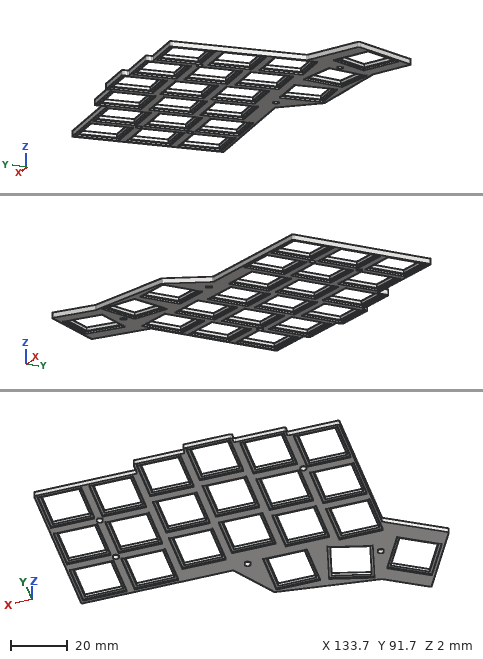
import cadquery as cq
import math


THICKNESS = 2.0
KEY_PITCH = 19.0
CUTOUT = 14.0
WEB_THICKNESS = 1.3
RECESS_MARGIN = 1.0
RIM = 2.0
LOWER_RIM = 2.2
CORNER_RADIUS = 0.5
SCREW_DIAMETER = 2.2
ROWS = 3

STAGGER_STEP = 2.375
COLUMN_SHIFTS = [STAGGER_STEP * steps for steps in (0, 1, 2, 1, -1, -1)]

THUMB_INNER = (1.5 * KEY_PITCH, -36.25)
THUMB_MIDDLE = (THUMB_INNER[0] - 21.0, THUMB_INNER[1] - 2.75)
THUMB_OUTER = (-14.77, -42.72)
THUMB_TURN = 15.0
OUTER_TURN = 2 * THUMB_TURN

OUTER_LEFT_REACH = 9.165
OUTER_UPPER_REACH = 14.315
OUTER_LOWER_REACH = 13.685

SLANT_START_X = 48.15

HALF_KEY = CUTOUT / 2 + RIM
RECESS_WIDTH = CUTOUT + 2 * RECESS_MARGIN
RECESS_DEPTH = THICKNESS - WEB_THICKNESS
ROW_REACH = (ROWS - 1) / 2 * KEY_PITCH
LAST_COLUMN = len(COLUMN_SHIFTS) - 1

THUMB_KEYS = [
    (THUMB_INNER, 0.0),
    (THUMB_MIDDLE, THUMB_TURN),
    (THUMB_OUTER, OUTER_TURN),
]

OUTER_SCREW_X = (LAST_COLUMN - 0.5) * KEY_PITCH
SCREW_HOLES = [
    (KEY_PITCH / 2, KEY_PITCH / 2 + COLUMN_SHIFTS[1] / 2),
    (OUTER_SCREW_X, COLUMN_SHIFTS[LAST_COLUMN] + KEY_PITCH / 2),
    (OUTER_SCREW_X, COLUMN_SHIFTS[LAST_COLUMN] - KEY_PITCH / 2),
    (42.35, -28.95),
    (-4.2, -36.77),
]


def outer_thumb_point(across, along):
    """Point given in the turned frame of the outer thumb key."""
    turn = math.radians(OUTER_TURN)
    x = THUMB_OUTER[0] + across * math.cos(turn) - along * math.sin(turn)
    y = THUMB_OUTER[1] + across * math.sin(turn) + along * math.cos(turn)
    return (x, y)


def crossing(first, first_angle, second, second_angle):
    """Point where two lines cross, each given by a point and an angle in degrees."""
    a = math.radians(first_angle)
    b = math.radians(second_angle)
    dx = second[0] - first[0]
    dy = second[1] - first[1]
    reach = (dx * math.sin(b) - dy * math.cos(b)) / math.sin(b - a)
    return (first[0] + reach * math.cos(a), first[1] + reach * math.sin(a))


def column_top(column):
    """Height of the plate edge above a column."""
    return COLUMN_SHIFTS[column] + ROW_REACH + HALF_KEY


def top_edge_points():
    """Stepped upper edge, from the inner column to the outer one."""
    points = [(-HALF_KEY, column_top(0))]
    for column in range(1, LAST_COLUMN + 1):
        rise = column_top(column) - column_top(column - 1)
        if rise > 0:
            step_x = column * KEY_PITCH - HALF_KEY
        elif rise < 0:
            step_x = (column - 1) * KEY_PITCH + HALF_KEY
        else:
            continue
        points.append((step_x, column_top(column - 1)))
        points.append((step_x, column_top(column)))
    points.append((LAST_COLUMN * KEY_PITCH + HALF_KEY, column_top(LAST_COLUMN)))
    return points


def make_plate():
    top_edge = top_edge_points()
    right_x = top_edge[-1][0]
    bottom_y = COLUMN_SHIFTS[LAST_COLUMN] - ROW_REACH - CUTOUT / 2 - LOWER_RIM
    lower_right = (right_x, bottom_y)
    thumb_right = (THUMB_INNER[0] + HALF_KEY, THUMB_INNER[1] - HALF_KEY)
    thumb_bottom = outer_thumb_point(-OUTER_LEFT_REACH, -OUTER_LOWER_REACH)
    thumb_left = outer_thumb_point(-OUTER_LEFT_REACH, OUTER_UPPER_REACH)
    thumb_bend = crossing(thumb_right, THUMB_TURN / 2, thumb_bottom, OUTER_TURN)
    inner_bend = crossing(top_edge[0], 90.0, thumb_left, OUTER_TURN)

    outline = top_edge + [
        lower_right,
        (SLANT_START_X, bottom_y),
        thumb_right,
        thumb_bend,
        thumb_bottom,
        thumb_left,
        inner_bend,
    ]
    plate = cq.Workplane("XY").polyline(outline).close().extrude(THICKNESS)
    return plate.edges("|Z").fillet(CORNER_RADIUS)


def make_cutout(centre, turn):
    """Square key opening with a wider recess on the underside, which leaves a thin web to clip into."""
    opening = cq.Workplane("XY").rect(CUTOUT, CUTOUT).extrude(THICKNESS)
    recess = cq.Workplane("XY").rect(RECESS_WIDTH, RECESS_WIDTH).extrude(RECESS_DEPTH)
    cutout = opening.union(recess).rotate((0, 0, 0), (0, 0, 1), turn)
    return cutout.translate((centre[0], centre[1], 0))


def cut_finger_keys(plate):
    for column, shift in enumerate(COLUMN_SHIFTS):
        for row in range(ROWS):
            centre = (column * KEY_PITCH, shift + ROW_REACH - row * KEY_PITCH)
            plate = plate.cut(make_cutout(centre, 0.0))
    return plate


def cut_thumb_keys(plate):
    for centre, turn in THUMB_KEYS:
        plate = plate.cut(make_cutout(centre, turn))
    return plate


def cut_screw_holes(plate):
    screws = cq.Workplane("XY").pushPoints(SCREW_HOLES).circle(SCREW_DIAMETER / 2).extrude(THICKNESS)
    return plate.cut(screws)


result = cut_screw_holes(cut_thumb_keys(cut_finger_keys(make_plate())))